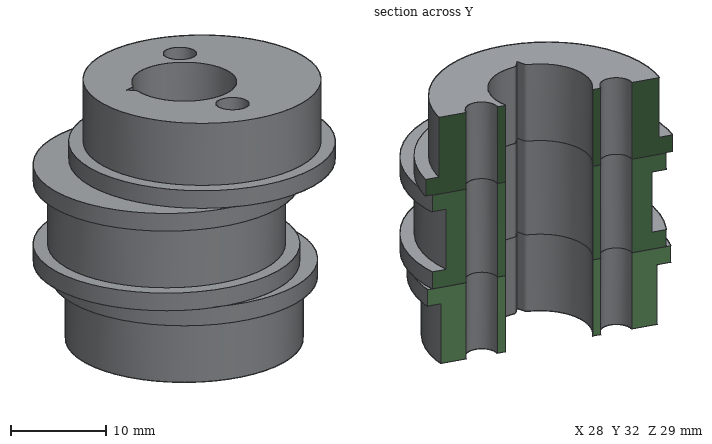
import cadquery as cq
import math


total_height = 29.0
total_depth = 32.0
journal_diameter = 25.0
journal_length = 7.0
flange_diameter = 28.0
bore_diameter = 11.0
notch_tip_distance = 6.5
notch_angle = 60.0
notch_edge_radius = 0.5
dowel_diameter = 3.5
dowel_circle_radius = 8.0
dowel_angle = 18.0

journal_count = 3
flange_count = 4
flange_thickness = (total_height - journal_count * journal_length) / flange_count
eccentricity = (total_depth - flange_diameter) / 2
end_cam_height = journal_length + flange_thickness
middle_cam_height = journal_length + 2 * flange_thickness


def disc(diameter, height, bottom, center_y=0.0):
    """Upright cylinder standing on the height `bottom`."""
    return (
        cq.Workplane("XY", origin=(0, center_y, bottom))
        .circle(diameter / 2)
        .extrude(height)
    )


def notched_bore():
    """Full-height bore with a V-notch on its -Y side, rounded at the mouth."""
    bore_radius = bore_diameter / 2
    notch_half_width = notch_tip_distance * math.tan(math.radians(notch_angle / 2))
    wedge = (
        cq.Workplane("XY")
        .polyline([
            (0, -notch_tip_distance),
            (notch_half_width, 0),
            (-notch_half_width, 0),
        ])
        .close()
        .extrude(total_height)
    )
    bore = disc(bore_diameter, total_height, 0).union(wedge)
    mouth_edges = cq.selectors.BoxSelector(
        (-bore_radius / 2, -bore_radius, 0),
        (bore_radius / 2, -bore_radius / 2, total_height),
    )
    return bore.edges("|Z").edges(mouth_edges).fillet(notch_edge_radius)


def dowel_holes():
    """Two full-height holes, one on each side of the bore."""
    angle = math.radians(dowel_angle)
    x = dowel_circle_radius * math.cos(angle)
    y = dowel_circle_radius * math.sin(angle)
    return (
        cq.Workplane("XY")
        .pushPoints([(-x, y), (x, y)])
        .circle(dowel_diameter / 2)
        .extrude(total_height)
    )


def drilled(cam):
    """Cut the shared bore and dowel holes through a cam."""
    return cam.cut(notched_bore()).cut(dowel_holes()).solids()


def make_bottom_cam():
    """Journal with a flange on top, concentric with the bore."""
    journal = disc(journal_diameter, journal_length, 0)
    flange = disc(flange_diameter, flange_thickness, journal_length)
    return drilled(journal.union(flange))


def make_middle_cam():
    """Journal between two flanges, offset toward -Y."""
    bottom = end_cam_height
    upper_flange_bottom = bottom + flange_thickness + journal_length
    lower_flange = disc(flange_diameter, flange_thickness, bottom, -eccentricity)
    journal = disc(journal_diameter, journal_length, bottom + flange_thickness, -eccentricity)
    upper_flange = disc(flange_diameter, flange_thickness, upper_flange_bottom, -eccentricity)
    return drilled(lower_flange.union(journal).union(upper_flange))


def make_top_cam():
    """Journal standing on a flange, offset toward +Y."""
    bottom = end_cam_height + middle_cam_height
    flange = disc(flange_diameter, flange_thickness, bottom, eccentricity)
    journal = disc(journal_diameter, journal_length, bottom + flange_thickness, eccentricity)
    return drilled(flange.union(journal))


bottom_cam = make_bottom_cam()
middle_cam = make_middle_cam()
top_cam = make_top_cam()

result = cq.Compound.makeCompound([bottom_cam.val(), middle_cam.val(), top_cam.val()])